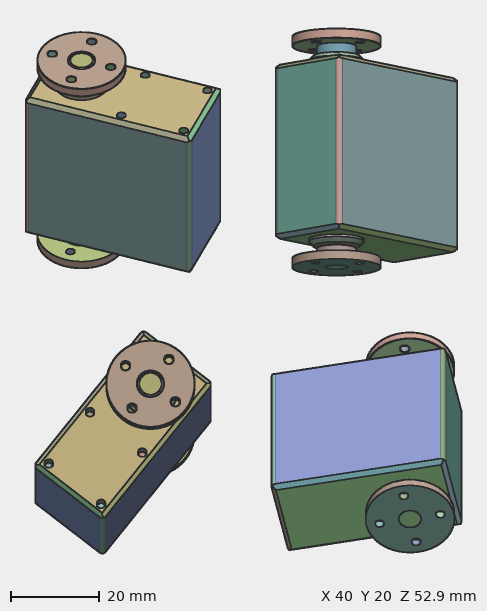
import cadquery as cq


HOUSING_LENGTH = 40.0
HOUSING_WIDTH = HOUSING_LENGTH / 2
HOUSING_HEIGHT = HOUSING_LENGTH
HOUSING_EDGE = 1.0
HOUSING_CENTER_X = HOUSING_LENGTH / 2 - HOUSING_WIDTH / 2

BOSS_DIAMETER = 12.5
BOSS_CHAMFER = 1.0
UPPER_BOSS_HEIGHT = 2.0
LOWER_BOSS_HEIGHT = 1.55

MOUNT_HOLE_DIAMETER = 2.0
MOUNT_HOLE_DEPTH = 4.0
MOUNT_HOLE_INSET = 2.5
MOUNT_HOLE_SPACING = HOUSING_WIDTH - 2 * MOUNT_HOLE_INSET

OVERALL_HEIGHT = 52.9
LOWER_OVERHANG = 6.4
UPPER_OVERHANG = OVERALL_HEIGHT - HOUSING_HEIGHT - LOWER_OVERHANG
FLANGE_DIAMETER = HOUSING_WIDTH
UPPER_FLANGE_THICKNESS = 2.2
LOWER_FLANGE_THICKNESS = 2.0
HUB_DIAMETER = 9.0
HUB_GAP = 0.5
EDGE_BREAK = 0.1
HORN_HOLE_COUNT = 4
HORN_HOLE_DIAMETER = 2.0
HORN_HOLE_CIRCLE_RADIUS = 7.0
UPPER_HORN_ANGLE = 1.7

SHAFT_DIAMETER = 6.0
JOURNAL_DIAMETER = 5.0
SHAFT_CHAMFER = (SHAFT_DIAMETER - JOURNAL_DIAMETER) / 2

TOP_FACE_Z = HOUSING_HEIGHT + UPPER_OVERHANG
BOTTOM_FACE_Z = -LOWER_OVERHANG


def cylinder(diameter, z_start, z_end):
    """Cylinder on the shaft axis between two heights."""
    return cq.Workplane("XY").workplane(offset=z_start).circle(diameter / 2).extrude(z_end - z_start)


def make_shaft():
    """Shaft with a shoulder level with the housing underside and a slimmer lower journal."""
    upper = cylinder(SHAFT_DIAMETER, 0, TOP_FACE_Z).faces(">Z").chamfer(SHAFT_CHAMFER)
    journal = cylinder(JOURNAL_DIAMETER, BOTTOM_FACE_Z, 0)
    return upper.union(journal)


def cut_shaft_bore(body):
    """Cut the straight bores that the stepped shaft runs in."""
    upper_bore = cylinder(SHAFT_DIAMETER, 0, TOP_FACE_Z)
    lower_bore = cylinder(JOURNAL_DIAMETER, BOTTOM_FACE_Z, 0)
    return body.cut(upper_bore).cut(lower_bore)


def make_housing():
    """Block with chamfered rims, two bosses, mounting holes and a shaft bore."""
    block = (
        cq.Workplane("XY")
        .center(HOUSING_CENTER_X, 0)
        .rect(HOUSING_LENGTH, HOUSING_WIDTH)
        .extrude(HOUSING_HEIGHT)
        .faces("<Z or >Z")
        .chamfer(HOUSING_EDGE)
        .edges("|Z")
        .fillet(HOUSING_EDGE)
    )
    mount_center_x = HOUSING_CENTER_X + HOUSING_LENGTH / 2 - MOUNT_HOLE_INSET - MOUNT_HOLE_SPACING / 2
    mount_holes = (
        cq.Workplane("XY")
        .workplane(offset=HOUSING_HEIGHT - MOUNT_HOLE_DEPTH)
        .center(mount_center_x, 0)
        .rect(MOUNT_HOLE_SPACING, MOUNT_HOLE_SPACING, forConstruction=True)
        .vertices()
        .circle(MOUNT_HOLE_DIAMETER / 2)
        .extrude(MOUNT_HOLE_DEPTH)
    )
    upper_boss = cylinder(BOSS_DIAMETER, HOUSING_HEIGHT, HOUSING_HEIGHT + UPPER_BOSS_HEIGHT)
    upper_boss = upper_boss.faces(">Z").chamfer(BOSS_CHAMFER)
    lower_boss = cylinder(BOSS_DIAMETER, -LOWER_BOSS_HEIGHT, 0).faces("<Z").chamfer(BOSS_CHAMFER)
    return cut_shaft_bore(block.cut(mount_holes).union(upper_boss).union(lower_boss))


def horn_holes(start_angle, z_start, z_end):
    """Ring of screw holes through a horn flange."""
    return (
        cq.Workplane("XY")
        .workplane(offset=z_start)
        .polarArray(HORN_HOLE_CIRCLE_RADIUS, start_angle, 360, HORN_HOLE_COUNT)
        .circle(HORN_HOLE_DIAMETER / 2)
        .extrude(z_end - z_start)
    )


def make_upper_horn():
    """Flange with broken edges on a hub that rests on the upper boss."""
    flange_z = TOP_FACE_Z - UPPER_FLANGE_THICKNESS
    flange = cylinder(FLANGE_DIAMETER, flange_z, TOP_FACE_Z)
    flange = flange.cut(horn_holes(UPPER_HORN_ANGLE, flange_z, TOP_FACE_Z))
    flange = flange.faces("<Z or >Z").chamfer(EDGE_BREAK)
    hub = cylinder(HUB_DIAMETER, HOUSING_HEIGHT + UPPER_BOSS_HEIGHT, flange_z)
    horn = cut_shaft_bore(flange.union(hub))
    return horn.faces(">Z").edges(cq.selectors.RadiusNthSelector(1)).chamfer(EDGE_BREAK)


def make_lower_horn():
    """Plain flange on a hub that stands clear of the lower boss."""
    flange_z = BOTTOM_FACE_Z + LOWER_FLANGE_THICKNESS
    hub_top_z = -LOWER_BOSS_HEIGHT - HUB_GAP
    flange = cylinder(FLANGE_DIAMETER, BOTTOM_FACE_Z, flange_z)
    flange = flange.cut(horn_holes(0, BOTTOM_FACE_Z, flange_z))
    hub = cylinder(HUB_DIAMETER, flange_z, hub_top_z).faces(">Z").chamfer(EDGE_BREAK)
    return cut_shaft_bore(flange.union(hub))


housing = make_housing()
shaft = make_shaft()
upper_horn = make_upper_horn()
lower_horn = make_lower_horn()

result = cq.Compound.makeCompound([housing.val(), shaft.val(), upper_horn.val(), lower_horn.val()])